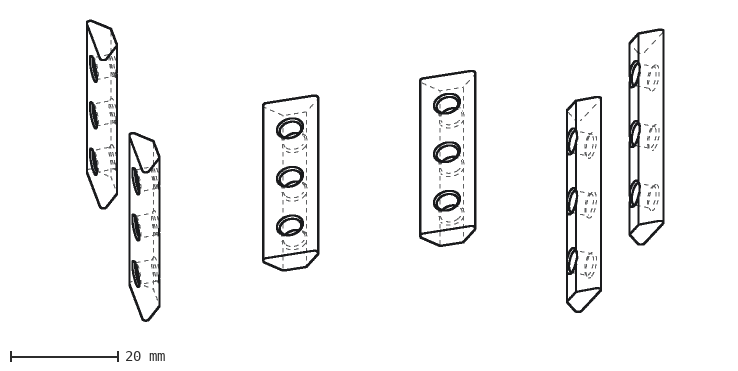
import cadquery as cq
import math

total_width = 40.5
bar_width = 10.5
bar_depth = 4.0
bar_length = 40.0
bar_pitch = total_width - bar_width

edge_radius = 0.7
flank_angle = math.radians(45)

hole_diameter = 4.15
hole_mouth_diameter = 5.0
hole_pitch = 12.5
hole_count = 3
chamfer_depth = (hole_mouth_diameter - hole_diameter) / 2

front_y = -bar_depth / 2
back_y = bar_depth / 2


def bar_blank():
    """Extrude the rounded trapezoid section along Z, centred on the origin."""
    round_x = bar_width / 2 - edge_radius
    round_y = front_y + edge_radius

    def round_point(angle):
        return (round_x + edge_radius * math.cos(angle), round_y + edge_radius * math.sin(angle))

    flank_start = round_point(flank_angle)
    arc_middle = round_point((flank_angle - math.pi / 2) / 2)
    back_half_width = flank_start[0] - (back_y - flank_start[1]) * math.tan(flank_angle)

    def mirrored(point):
        return (-point[0], point[1])

    return (
        cq.Workplane("XY")
        .workplane(offset=-bar_length / 2)
        .moveTo(-round_x, front_y)
        .lineTo(round_x, front_y)
        .threePointArc(arc_middle, flank_start)
        .lineTo(back_half_width, back_y)
        .lineTo(-back_half_width, back_y)
        .lineTo(*mirrored(flank_start))
        .threePointArc(mirrored(arc_middle), (-round_x, front_y))
        .close()
        .extrude(bar_length)
    )


def hole_cutter(z):
    """Revolve a bore along Y that widens to a chamfered mouth at each end."""
    bore_radius = hole_diameter / 2
    mouth_radius = hole_mouth_diameter / 2
    return (
        cq.Workplane("XY")
        .moveTo(0, front_y)
        .lineTo(mouth_radius, front_y)
        .lineTo(bore_radius, front_y + chamfer_depth)
        .lineTo(bore_radius, back_y - chamfer_depth)
        .lineTo(mouth_radius, back_y)
        .lineTo(0, back_y)
        .close()
        .revolve(360, (0, 0, 0), (0, 1, 0))
        .translate((0, 0, z))
    )


def clamp_bar(x):
    """Build one drilled bar centred at the given X."""
    bar = bar_blank()
    for index in range(hole_count):
        bar = bar.cut(hole_cutter((index - (hole_count - 1) / 2) * hole_pitch))
    return bar.translate((x, 0, 0))


clamp_bars = []
for side in (-1, 1):
    clamp_bars.append(clamp_bar(side * bar_pitch / 2).solids().val())

result = cq.Compound.makeCompound(clamp_bars)